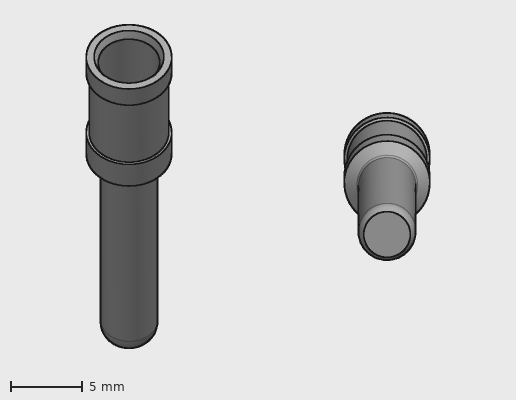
import cadquery as cq

length = 29.1
pin_radius = 2.0
tip_radius = 1.63
tip_height = 1.2
tip_bulge_radius = 1.92
tip_bulge_height = 0.5

collar_radius = 3.0
barrel_radius = 2.8
top_collar_height = 1.72
collar_taper = 0.12
lower_collar_top = 21.1
lower_collar_bottom = 18.8
shoulder_bottom = 18.07
shoulder_fillet = 0.3

bore_radius = 2.15
mouth_radius = 2.45
mouth_depth = 0.58
bore_floor = 21.1
drill_point_height = 1.25

outer_profile = (
    cq.Workplane("XZ")
    .lineTo(tip_radius, 0)
    .threePointArc((tip_bulge_radius, tip_bulge_height), (pin_radius, tip_height))
    .lineTo(pin_radius, shoulder_bottom)
    .lineTo(collar_radius, lower_collar_bottom)
    .lineTo(collar_radius, lower_collar_top)
    .lineTo(barrel_radius, lower_collar_top)
    .lineTo(barrel_radius, length - top_collar_height - collar_taper)
    .lineTo(collar_radius, length - top_collar_height)
    .lineTo(collar_radius, length)
    .lineTo(0, length)
    .close()
)
body = outer_profile.revolve(360, (0, 0), (0, 1))

shoulder_box = cq.selectors.BoxSelector(
    (-collar_radius, -collar_radius, shoulder_bottom - shoulder_fillet),
    (collar_radius, collar_radius, shoulder_bottom + shoulder_fillet),
)
body = body.edges("%CIRCLE").edges(shoulder_box).fillet(shoulder_fillet)

bore_profile = (
    cq.Workplane("XZ")
    .moveTo(0, bore_floor - drill_point_height)
    .lineTo(bore_radius, bore_floor)
    .lineTo(bore_radius, length - mouth_depth)
    .lineTo(mouth_radius, length)
    .lineTo(0, length)
    .close()
)
bore = bore_profile.revolve(360, (0, 0), (0, 1))

result = body.cut(bore)